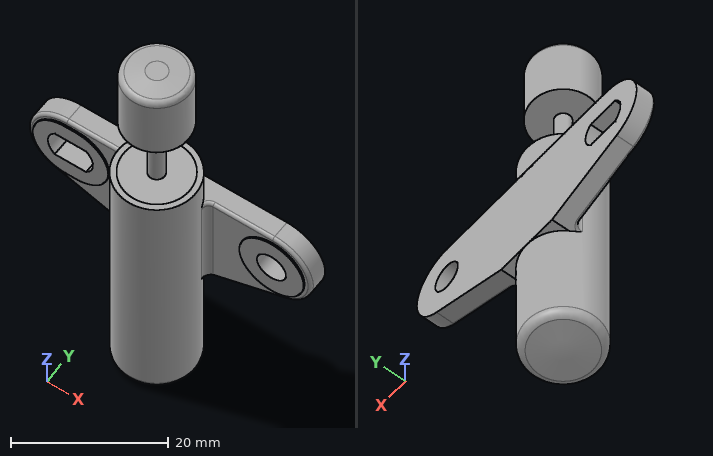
import cadquery as cq
import math

HEIGHT = 61.0
BARREL_D = 12.0
BARREL_R = BARREL_D / 2
BARREL_TOP = 39.05
BARREL_DOME = 0.35
BARREL_ROUND = 1.2
BORE_R = 5.1
BORE_FLOOR = 2.0

CAP_R = 5.0
CAP_BOTTOM = 50.15
CAP_DOME = 0.4
CAP_FLAT_R = 1.5
CAP_ROUND = 0.9
ROD_R = 1.2
ROD_DEPTH = 6.1

BACK_Y = BARREL_R
PLATE_T = 3.2
PLATE_BOTTOM = 17.95
PLATE_EDGE_ROUND = 0.5
PLATE_W = 44.0
PLATE_HALF_W = PLATE_W / 2
EAR_R = 6.0
EAR_X = PLATE_HALF_W - EAR_R
EAR_Z = 28.1
EAR_SLOPE = 19.4
BLEND_R = 1.0

PAD_H = 0.25
PAD_R = 5.0
HOLE_R = 2.25
SLOT_X = -15.25
SLOT_PAD_W = 11.7
SLOT_W = 7.0
SLOT_FLAT_W = 4.9
SLOT_H = 4.45

FRONT_Y = BACK_Y - PLATE_T
PAD_Y = FRONT_Y - PAD_H

BLEND_Y = FRONT_Y - BLEND_R
BLEND_X = math.sqrt((BARREL_R + BLEND_R) ** 2 - BLEND_Y**2)
CONTACT_X = BLEND_X * BARREL_R / (BARREL_R + BLEND_R)
CONTACT_Y = BLEND_Y * BARREL_R / (BARREL_R + BLEND_R)
TAIL = 1.2


def front_plane(y):
    """Plane facing -Y, centred on X at the height of the mounting holes."""
    return cq.Workplane("XZ", origin=(0, y, EAR_Z))


def make_plate_outline():
    """Two-eared outline with a flat top and lower edges sloping to the barrel."""
    slope = math.radians(EAR_SLOPE)
    tangent_x = EAR_X + EAR_R * math.sin(slope)
    tangent_z = -EAR_R * math.cos(slope)
    root_x = BARREL_R / 2
    root_z = tangent_z - (tangent_x - root_x) * math.tan(slope)
    return (
        front_plane(BACK_Y)
        .moveTo(-EAR_X, EAR_R)
        .lineTo(EAR_X, EAR_R)
        .threePointArc((PLATE_HALF_W, 0), (tangent_x, tangent_z))
        .lineTo(root_x, root_z)
        .lineTo(-root_x, root_z)
        .lineTo(-tangent_x, tangent_z)
        .threePointArc((-PLATE_HALF_W, 0), (-EAR_X, EAR_R))
        .close()
        .extrude(2 * BARREL_R)
    )


def make_plate_section():
    """Constant section along Z: flat plate with tangent blends that run on past the barrel."""
    toward_axis = math.pi + math.atan2(BLEND_Y, BLEND_X)
    mid_angle = (math.pi / 2 + toward_axis) / 2
    mid_x = BLEND_X + BLEND_R * math.cos(mid_angle)
    mid_y = BLEND_Y + BLEND_R * math.sin(mid_angle)
    tail_x = CONTACT_X + CONTACT_Y * TAIL / BARREL_R
    tail_y = CONTACT_Y - CONTACT_X * TAIL / BARREL_R
    return (
        cq.Workplane("XY")
        .moveTo(-PLATE_HALF_W, BACK_Y)
        .lineTo(PLATE_HALF_W, BACK_Y)
        .lineTo(PLATE_HALF_W, FRONT_Y)
        .lineTo(BLEND_X, FRONT_Y)
        .threePointArc((mid_x, mid_y), (CONTACT_X, CONTACT_Y))
        .lineTo(tail_x, tail_y)
        .lineTo(-tail_x, tail_y)
        .lineTo(-CONTACT_X, CONTACT_Y)
        .threePointArc((-mid_x, mid_y), (-BLEND_X, FRONT_Y))
        .lineTo(-PLATE_HALF_W, FRONT_Y)
        .close()
        .extrude(BARREL_TOP)
    )


def make_plate():
    """Plate with its front outline rounded and a raised pad on each ear."""
    plate = make_plate_outline().intersect(make_plate_section())
    middle_y = BACK_Y - PLATE_T / 2
    right_ear = cq.selectors.BoxSelector((BORE_R, 0, 0), (PLATE_HALF_W, middle_y, BARREL_TOP))
    left_ear = cq.selectors.BoxSelector((-PLATE_HALF_W, 0, 0), (-BORE_R, middle_y, BARREL_TOP))
    rim = plate.edges(right_ear + left_ear).edges("not |Z")
    plate = rim.fillet(PLATE_EDGE_ROUND)

    keep = (
        cq.Workplane("XY", origin=(0, CONTACT_Y, PLATE_BOTTOM))
        .box(2 * PLATE_HALF_W, BACK_Y - CONTACT_Y, BARREL_TOP - PLATE_BOTTOM, centered=(True, False, False))
    )
    plate = plate.intersect(keep)

    round_pad = front_plane(PAD_Y).center(EAR_X, 0).circle(PAD_R).extrude(-PLATE_T / 2)
    slot_pad = (
        front_plane(PAD_Y).center(SLOT_X, 0).slot2D(SLOT_PAD_W, 2 * PAD_R).extrude(-PLATE_T / 2)
    )
    return plate.union(round_pad).union(slot_pad)


def make_mounting_holes():
    """Cutters for the round hole and the slot with shallow curved ends."""
    length = PLATE_T + PAD_H
    hole = front_plane(BACK_Y).center(EAR_X, 0).circle(HOLE_R).extrude(length)
    slot = (
        front_plane(BACK_Y)
        .center(SLOT_X, 0)
        .moveTo(-SLOT_FLAT_W / 2, SLOT_H / 2)
        .lineTo(SLOT_FLAT_W / 2, SLOT_H / 2)
        .threePointArc((SLOT_W / 2, 0), (SLOT_FLAT_W / 2, -SLOT_H / 2))
        .lineTo(-SLOT_FLAT_W / 2, -SLOT_H / 2)
        .threePointArc((-SLOT_W / 2, 0), (-SLOT_FLAT_W / 2, SLOT_H / 2))
        .close()
        .extrude(length)
    )
    return hole.union(slot)


def make_barrel():
    """Solid barrel with a slightly conical, rounded bottom."""
    return (
        cq.Workplane("XZ")
        .lineTo(BARREL_R, BARREL_DOME)
        .lineTo(BARREL_R, BARREL_TOP)
        .lineTo(0, BARREL_TOP)
        .close()
        .revolve(360, (0, 0, 0), (0, 1, 0))
        .edges("%CIRCLE")
        .edges("<Z")
        .fillet(BARREL_ROUND)
    )


def make_housing():
    """Barrel and mounting plate in one piece, bored from the top."""
    bore = cq.Workplane("XY").workplane(offset=BORE_FLOOR).circle(BORE_R).extrude(BARREL_TOP)
    return make_barrel().union(make_plate()).cut(bore).cut(make_mounting_holes())


def make_damper_cylinder():
    """Cylinder filling the bore flush with its rim, with a blind hole for the rod."""
    return (
        cq.Workplane("XY")
        .workplane(offset=BORE_FLOOR)
        .circle(BORE_R)
        .extrude(BARREL_TOP - BORE_FLOOR)
        .faces(">Z")
        .workplane()
        .hole(2 * ROD_R, ROD_DEPTH)
    )


def make_plunger():
    """Rod carrying a cap with a shallow conical top around a small flat."""
    cap = (
        cq.Workplane("XZ")
        .moveTo(0, CAP_BOTTOM)
        .lineTo(CAP_R, CAP_BOTTOM)
        .lineTo(CAP_R, HEIGHT - CAP_DOME)
        .lineTo(CAP_FLAT_R, HEIGHT)
        .lineTo(0, HEIGHT)
        .close()
        .revolve(360, (0, 0, 0), (0, 1, 0))
    )
    cap = cap.edges("%CIRCLE").edges(">>Z[-2]").fillet(CAP_ROUND)
    rod_bottom = BARREL_TOP - ROD_DEPTH
    rod = cq.Workplane("XY").workplane(offset=rod_bottom).circle(ROD_R).extrude(CAP_BOTTOM - rod_bottom)
    return cap.union(rod)


housing = make_housing()
damper_cylinder = make_damper_cylinder()
plunger = make_plunger()

result = cq.Compound.makeCompound([housing.val(), damper_cylinder.val(), plunger.val()])